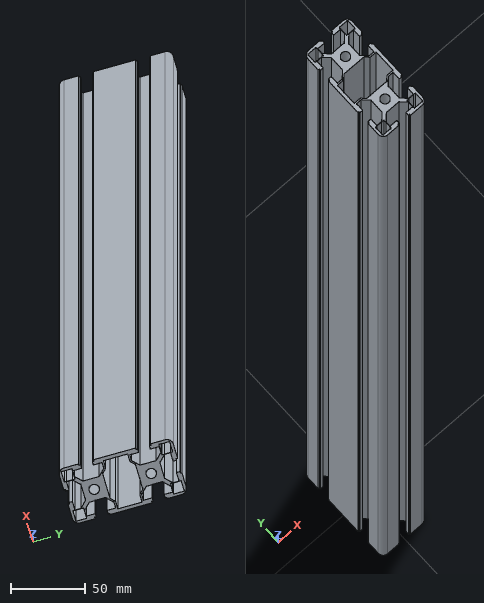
import cadquery as cq

length = 1000.0
module = 40.0
half_module = module / 2
outer_corner_radius = 4.5

slot_opening = 8.2
mouth_step_width = 1.1
mouth_step_depth = 1.0
lip_thickness = 3.5
cavity_undercut = 6.2

core_half_width = 7.7
core_bore_diameter = 7.0
web_offset = 2.0

hollow_size = 7.5
hollow_wall = 2.0

chamber_side_wall = 2.5
chamber_side_height = 17.0
chamber_height = 23.0
chamber_end_width = 18.0


def extrude_outline(points):
    """Extrude a closed outline over the full length."""
    return cq.Workplane("XY").polyline(points).close().extrude(length)


def add_mirrored_half(right_half):
    """Complete an outline from its +X half by mirroring it about the Y axis."""
    return right_half + [(-x, y) for x, y in reversed(right_half)]


def t_slot():
    """T-slot cutter opening toward +Y of a module centred on the origin."""
    floor = core_half_width
    opening_half = slot_opening / 2
    cavity_half = opening_half + cavity_undercut
    lip = half_module - lip_thickness
    mouth_floor = half_module - mouth_step_depth
    mouth_half = opening_half + mouth_step_width
    right_half = [
        (floor - web_offset, floor),
        (cavity_half, cavity_half + web_offset),
        (cavity_half, lip),
        (opening_half, lip),
        (opening_half, mouth_floor),
        (mouth_half, mouth_floor),
        (mouth_half, half_module),
    ]
    return extrude_outline(add_mirrored_half(right_half))


def core_bore():
    return cq.Workplane("XY").circle(core_bore_diameter / 2).extrude(length)


def corner_hollows(outward):
    """Pair of hollows in the two outer corners of a module; outward is its sign along Y."""
    offset = half_module - hollow_wall - hollow_size / 2
    centers = [(side * offset, outward * offset) for side in (1, -1)]
    return cq.Workplane("XY").pushPoints(centers).rect(hollow_size, hollow_size).extrude(length)


def central_chamber():
    side_x = half_module - chamber_side_wall
    side_y = chamber_side_height / 2
    end_x = chamber_end_width / 2
    end_y = chamber_height / 2
    flank_run = end_y - side_y
    upper_right = [
        (side_x, side_y),
        (end_x + flank_run, side_y),
        (end_x, end_y),
    ]
    upper = add_mirrored_half(upper_right)
    lower = [(x, -y) for x, y in reversed(upper)]
    return extrude_outline(upper + lower)


result = cq.Workplane("XY").rect(module, 2 * module).extrude(length)
result = result.edges("|Z").fillet(outer_corner_radius)

for outward in (1, -1):
    module_center = (0, outward * half_module, 0)
    end_slot_angle = 0 if outward > 0 else 180
    for angle in (end_slot_angle, 90, -90):
        slot = t_slot().rotate((0, 0, 0), (0, 0, 1), angle)
        result = result.cut(slot.translate(module_center))
    result = result.cut(core_bore().translate(module_center))
    result = result.cut(corner_hollows(outward).translate(module_center))

result = result.cut(central_chamber())